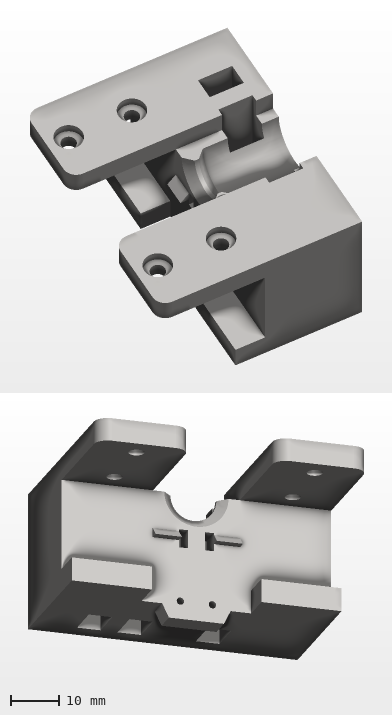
import cadquery as cq

width = 59.0
height = 30.0
block_depth = 18.0
wall_thickness = 5.0
gap_width = 19.0

arm_thickness = 5.0
total_depth = 48.0
arm_corner_radius = 3.0
screw_diameter = 3.4
screw_head_diameter = 6.4
screw_head_depth = 2.0
screw_edge_distance = 5.0
screw_pitch = 15.0

foot_width = 17.5
foot_length = 7.0
foot_height = 5.15

channel_radius = 7.0
neck_radius = 5.0
neck_taper_length = channel_radius - neck_radius

window_width = 5.15
window_depth = 8.1
window_back_distance = 4.0
window_centers = (-17.45, -8.55, 8.55)

tongue_top_width = 15.0
tongue_bottom_width = 12.05
tongue_drop = 3.0
pin_hole_diameter = 1.6
pin_hole_spacing = 7.0
pin_hole_height = 0.95

catch_outer_x = 9.55
catch_inner_x = 3.85
catch_base_height = 14.5
catch_size = 2.0
slot_width = 2.0
slot_height = 4.0
slot_base_height = 12.9
slot_depth = wall_thickness

wall_front_y = -(block_depth + wall_thickness)
arm_width = (width - gap_width) / 2
arm_center_x = (gap_width + arm_width) / 2
channel_height = height - arm_thickness
sides = (-1, 1)


def box(x_range, y_range, z_range):
    """Box between the given limits along each axis."""
    (x0, x1), (y0, y1), (z0, z1) = x_range, y_range, z_range
    return cq.Workplane("XY").box(x1 - x0, y1 - y0, z1 - z0, centered=False).translate((x0, y0, z0))


def make_block():
    """Block and front wall as one body, before the top gap is cut."""
    block = box((-width / 2, width / 2), (wall_front_y, 0), (0, height))
    gap = box((-gap_width / 2, gap_width / 2), (wall_front_y, 0), (channel_height, height))
    return block.cut(gap)


def make_arm(side):
    """Arm with rounded front corners and two counterbored screw holes."""
    center_x = side * arm_center_x
    arm = box(
        (center_x - arm_width / 2, center_x + arm_width / 2),
        (-total_depth, -block_depth),
        (channel_height, height),
    )
    arm = arm.faces("<Y").edges("|Z").fillet(arm_corner_radius)
    front_screw_y = -total_depth + screw_edge_distance
    screw_points = [(center_x, front_screw_y), (center_x, front_screw_y + screw_pitch)]
    return (
        arm.faces(">Z")
        .workplane(origin=(0, 0, height))
        .pushPoints(screw_points)
        .cboreHole(screw_diameter, screw_head_diameter, screw_head_depth)
    )


def make_foot(side):
    """Foot flush with the outer side and the bottom of the block."""
    center_x = side * (width - foot_width) / 2
    return box(
        (center_x - foot_width / 2, center_x + foot_width / 2),
        (wall_front_y - foot_length, wall_front_y),
        (0, foot_height),
    )


def make_tongue():
    """Trapezoidal tongue as thick as the front wall."""
    return (
        cq.Workplane("XZ", origin=(0, -block_depth, 0))
        .moveTo(-tongue_top_width / 2, 0)
        .lineTo(-tongue_bottom_width / 2, -tongue_drop)
        .lineTo(tongue_bottom_width / 2, -tongue_drop)
        .lineTo(tongue_top_width / 2, 0)
        .close()
        .extrude(wall_thickness)
    )


def make_catch(side):
    """Wedge with a flat underside and a 45 degree top."""
    catch_length = catch_outer_x - catch_inner_x
    start_x = catch_inner_x if side > 0 else -catch_outer_x
    return (
        cq.Workplane("YZ", origin=(start_x, 0, 0))
        .moveTo(wall_front_y, catch_base_height)
        .lineTo(wall_front_y - catch_size, catch_base_height)
        .lineTo(wall_front_y, catch_base_height + catch_size)
        .close()
        .extrude(catch_length)
    )


def make_channel():
    """Revolved cutter: channel bore, taper to the neck, and flare to the front face."""
    neck_front_y = wall_front_y + neck_taper_length
    neck_back_y = -block_depth - neck_taper_length
    return (
        cq.Workplane("XY")
        .moveTo(0, 0)
        .lineTo(channel_radius, 0)
        .lineTo(channel_radius, -block_depth)
        .lineTo(neck_radius, neck_back_y)
        .lineTo(neck_radius, neck_front_y)
        .lineTo(channel_radius, wall_front_y)
        .lineTo(0, wall_front_y)
        .close()
        .revolve(360, (0, 0, 0), (0, 1, 0))
        .translate((0, 0, channel_height))
        .intersect(box((-channel_radius, channel_radius), (wall_front_y, 0), (0, height)))
    )


def make_window(center_x):
    """Cutter for one rectangular window through the full height."""
    return box(
        (center_x - window_width / 2, center_x + window_width / 2),
        (-window_back_distance - window_depth, -window_back_distance),
        (0, height),
    )


def make_slot(side):
    """Cutter for the blind slot beside a catch."""
    center_x = side * (catch_inner_x - slot_width / 2)
    return box(
        (center_x - slot_width / 2, center_x + slot_width / 2),
        (wall_front_y, wall_front_y + slot_depth),
        (slot_base_height, slot_base_height + slot_height),
    )


def make_pin_hole(side):
    """Cutter for a small hole through the wall and block."""
    return (
        cq.Workplane("XZ")
        .center(side * pin_hole_spacing / 2, pin_hole_height)
        .circle(pin_hole_diameter / 2)
        .extrude(-wall_front_y)
    )


result = make_block().union(make_tongue())
for side in sides:
    result = result.union(make_arm(side)).union(make_foot(side)).union(make_catch(side))

result = result.cut(make_channel())
for center_x in window_centers:
    result = result.cut(make_window(center_x))
for side in sides:
    result = result.cut(make_slot(side)).cut(make_pin_hole(side))
result = result.clean()